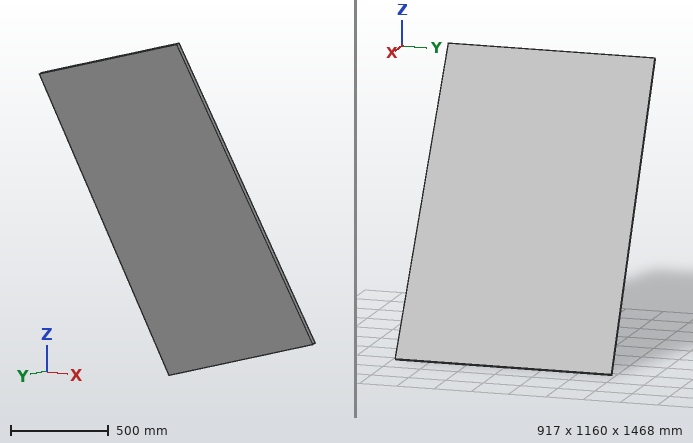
import cadquery as cq

size_x = 917.0
size_y = 1160.0
size_z = 1468.0

end_run = 16.0
end_rise = 10.0

upper_width = 1107.0
front_skew = 1.0

section = [
    (-size_x / 2, size_z / 2 - end_rise),
    (-size_x / 2 + end_run, size_z / 2),
    (size_x / 2, -size_z / 2 + end_rise),
    (size_x / 2 - end_run, -size_z / 2),
]
panel = cq.Workplane("XZ").polyline(section).close().extrude(size_y / 2, both=True)

front_y = -size_y / 2
upper_front_y = front_y + front_skew
plan = [
    (-size_x / 2, upper_front_y),
    (size_x / 2, front_y),
    (size_x / 2, size_y / 2),
    (-size_x / 2, upper_front_y + upper_width),
]
envelope = (
    cq.Workplane("XY").workplane(offset=-size_z / 2).polyline(plan).close().extrude(size_z)
)

result = panel.intersect(envelope)